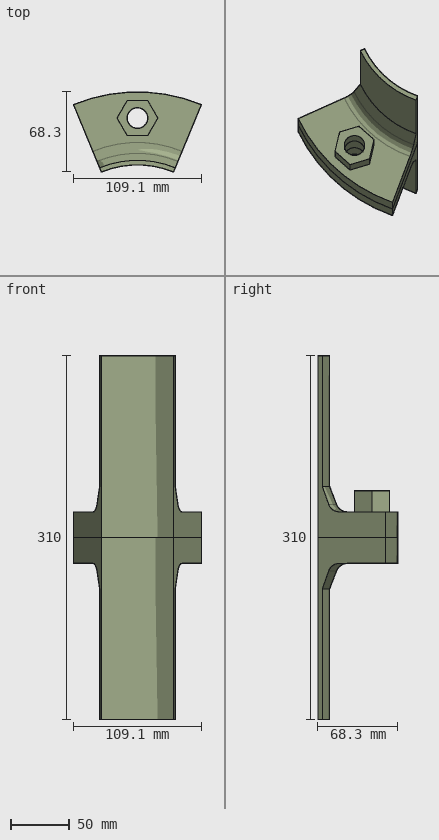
import cadquery as cq
import math

TOTAL_HEIGHT = 310.0
HALF_HEIGHT = TOTAL_HEIGHT / 2
SECTOR_ANGLE = 45.0

BORE_RADIUS = 80.3
PIPE_RADIUS = 84.3
FLANGE_RADIUS = 142.5
FLANGE_TOP = 22.0
NECK_BASE_RADIUS = 92.7
NECK_TOP = 43.7
NECK_FILLET = 10.0

BOLT_CIRCLE_RADIUS = 120.3
HOLE_DIAMETER = 17.5
NUT_ACROSS_FLATS = 30.0
NUT_HEIGHT = 18.0

FIRST_SIDE_ANGLE = 90.0 - SECTOR_ANGLE / 2


def make_flange():
    """Upper weld-neck flange slice, with its joint face on Z = 0."""
    taper_run = NECK_BASE_RADIUS - PIPE_RADIUS
    taper_rise = NECK_TOP - FLANGE_TOP
    neck_angle = math.atan2(taper_rise, taper_run)
    tangent_length = NECK_FILLET * math.tan(neck_angle / 2)
    face_tangent_radius = NECK_BASE_RADIUS + tangent_length
    neck_tangent = (
        NECK_BASE_RADIUS - tangent_length * math.cos(neck_angle),
        FLANGE_TOP + tangent_length * math.sin(neck_angle),
    )
    arc_middle = (
        face_tangent_radius - NECK_FILLET * math.sin(neck_angle / 2),
        FLANGE_TOP + NECK_FILLET * (1 - math.cos(neck_angle / 2)),
    )

    section = (
        cq.Workplane("XZ")
        .moveTo(BORE_RADIUS, 0)
        .lineTo(FLANGE_RADIUS, 0)
        .lineTo(FLANGE_RADIUS, FLANGE_TOP)
        .lineTo(face_tangent_radius, FLANGE_TOP)
        .threePointArc(arc_middle, neck_tangent)
        .lineTo(PIPE_RADIUS, NECK_TOP)
        .lineTo(PIPE_RADIUS, HALF_HEIGHT)
        .lineTo(BORE_RADIUS, HALF_HEIGHT)
        .close()
    )
    sector = section.revolve(SECTOR_ANGLE, (0, 0), (0, -1))
    sector = sector.rotate((0, 0, 0), (0, 0, 1), FIRST_SIDE_ANGLE + SECTOR_ANGLE)
    bolt_hole = (
        cq.Workplane("XY")
        .center(0, BOLT_CIRCLE_RADIUS)
        .circle(HOLE_DIAMETER / 2)
        .extrude(FLANGE_TOP)
    )
    return sector.cut(bolt_hole)


def make_nut():
    """Hexagonal nut resting on the upper flange, two flats facing +Y and -Y."""
    across_corners = NUT_ACROSS_FLATS / math.cos(math.radians(30))
    return (
        cq.Workplane("XY", origin=(0, BOLT_CIRCLE_RADIUS, FLANGE_TOP))
        .polygon(6, across_corners)
        .circle(HOLE_DIAMETER / 2)
        .extrude(NUT_HEIGHT)
    )


upper_flange = make_flange()
flanges = [upper_flange, upper_flange.mirror("XY")]
nut = make_nut()

result = cq.Compound.makeCompound([*[flange.val() for flange in flanges], nut.val()])